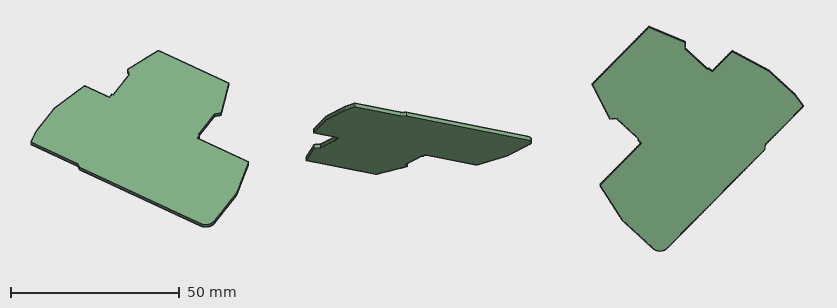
import cadquery as cq

length = 63.2
height = 50.8
thickness = 1.2

shoulder_y = 27.8
shoulder_inset = 3.15
side_top_y = 15.75
left_side_bottom_y = 5.2
left_foot_inset = 0.8
foot_rise = 0.9
foot_ramp_start_x = 17.1
foot_ramp_end_x = 18.25
foot_ramp_radius = 1.15
corner_radius = 3.1

tower_x = 27.0
top_half_width = 12.2
barb_half_width = 16.25
barb_y = 39.75
neck_half_width = 14.8
neck_top_y = 38.4
step_half_width = 15.2
step_y = 29.15
step_bevel_rise = 0.2

tower_profile = [
    (step_half_width, shoulder_y),
    (step_half_width, step_y),
    (neck_half_width, step_y + step_bevel_rise),
    (neck_half_width, neck_top_y),
    (barb_half_width, barb_y),
    (top_half_width, height),
]
tower_right = [(tower_x + half, y) for half, y in tower_profile]
tower_left = [(tower_x - half, y) for half, y in reversed(tower_profile)]

base_right = [
    (foot_ramp_end_x, 0),
    (length, 0),
    (length, side_top_y),
    (length - shoulder_inset, shoulder_y),
]
base_left = [
    (shoulder_inset, shoulder_y),
    (0, side_top_y),
    (0, left_side_bottom_y),
    (left_foot_inset, foot_rise),
    (foot_ramp_start_x, foot_rise),
]

outline = base_right + tower_right + tower_left + base_left
plate = cq.Workplane("XY").polyline(outline).close().extrude(thickness)


def round_corner(body, x, y, radius):
    """Round the plate's upright edge nearest to (x, y)."""
    nearest = cq.selectors.NearestToPointSelector((x, y, thickness / 2))
    return body.edges("|Z").edges(nearest).fillet(radius)


plate = round_corner(plate, length, 0, corner_radius)
result = round_corner(plate, foot_ramp_start_x, foot_rise, foot_ramp_radius)